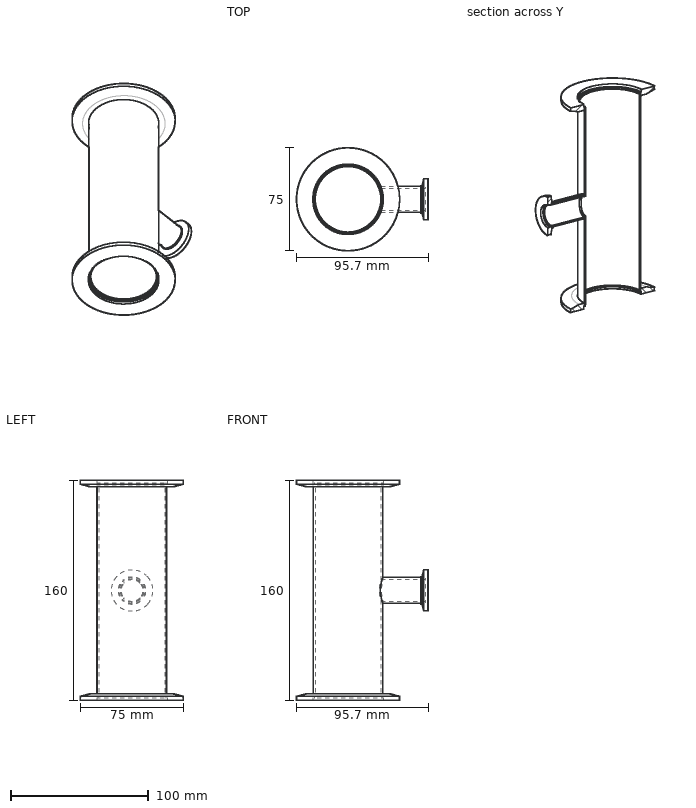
import cadquery as cq

overall_height = 160.0
overall_length = 95.7

main_outer_d = 50.7
main_bore_d = 47.7
main_flange_d = 75.0
branch_reach = overall_length - main_flange_d / 2
main_flange_rim = 2.9
main_flange_thickness = 5.0
main_flange_back_d = 60.0
main_socket_d = 51.0
main_lip_d = 49.1
main_recess_d = 51.2
main_recess_depth = 2.0
main_tube_setback = 3.4

branch_outer_d = 19.0
branch_bore_d = 15.8
branch_flange_d = 30.0
branch_flange_rim = 3.2
branch_cone_length = 1.1
branch_flange_thickness = 5.3
branch_hub_d = 20.0
branch_socket_d = 19.4
branch_lip_d = 16.2
branch_recess_d = 17.1
branch_recess_depth = 2.0
branch_tube_setback = 3.0


def cylinder(diameter, bottom, top):
    """Solid cylinder on the Z axis between two heights."""
    return cq.Workplane("XY").workplane(offset=bottom).circle(diameter / 2).extrude(top - bottom)


def branch_cylinder(diameter, start, end):
    """Solid cylinder on the X axis between two distances from the main axis."""
    return cq.Workplane("YZ").workplane(offset=start).circle(diameter / 2).extrude(end - start)


def make_flange(outer_d, rim, cone_length, back_d, thickness,
                recess_d, recess_depth, lip_d, setback, socket_d):
    """Tapered flange with its sealing face at Z = 0 and its tube socket opening toward +Z."""
    cone_end = rim + cone_length
    outline = [(0, 0), (outer_d / 2, 0), (outer_d / 2, rim), (back_d / 2, cone_end)]
    if thickness > cone_end:
        outline.append((back_d / 2, thickness))
    outline.append((0, thickness))
    body = cq.Workplane("XZ").polyline(outline).close().revolve(360, (0, 0), (0, 1))

    recess = cylinder(recess_d, 0, recess_depth)
    lip_bore = cylinder(lip_d, 0, thickness)
    socket = cylinder(socket_d, setback, thickness)
    return body.cut(recess).cut(lip_bore).cut(socket)


def make_main_tube():
    """Main tube with a round port where the branch joins it."""
    half_length = overall_height / 2 - main_tube_setback
    tube = cylinder(main_outer_d, -half_length, half_length)
    tube = tube.cut(cylinder(main_bore_d, -half_length, half_length))
    port = branch_cylinder(branch_bore_d, 0, main_outer_d)
    return tube.cut(port)


def make_branch_tube():
    """Branch tube, saddle-cut to sit on the outside of the main tube."""
    end = branch_reach - branch_tube_setback
    tube = branch_cylinder(branch_outer_d, 0, end)
    tube = tube.cut(branch_cylinder(branch_bore_d, 0, end))
    return tube.cut(cylinder(main_outer_d, -branch_outer_d, branch_outer_d))


def make_main_flange():
    return make_flange(
        main_flange_d, main_flange_rim, main_flange_thickness - main_flange_rim,
        main_flange_back_d, main_flange_thickness,
        main_recess_d, main_recess_depth, main_lip_d, main_tube_setback, main_socket_d,
    )


def make_branch_flange():
    flange = make_flange(
        branch_flange_d, branch_flange_rim, branch_cone_length,
        branch_hub_d, branch_flange_thickness,
        branch_recess_d, branch_recess_depth, branch_lip_d, branch_tube_setback, branch_socket_d,
    )
    return flange.rotate((0, 0, 0), (0, 1, 0), -90).translate((branch_reach, 0, 0))


main_tube = make_main_tube()
branch_tube = make_branch_tube()
branch_flange = make_branch_flange()

main_flanges = []
for turn in (0, 180):
    flange = make_main_flange().translate((0, 0, -overall_height / 2))
    main_flanges.append(flange.rotate((0, 0, 0), (1, 0, 0), turn).val())

result = cq.Compound.makeCompound(
    [main_tube.val(), branch_tube.val(), branch_flange.val(), *main_flanges]
)